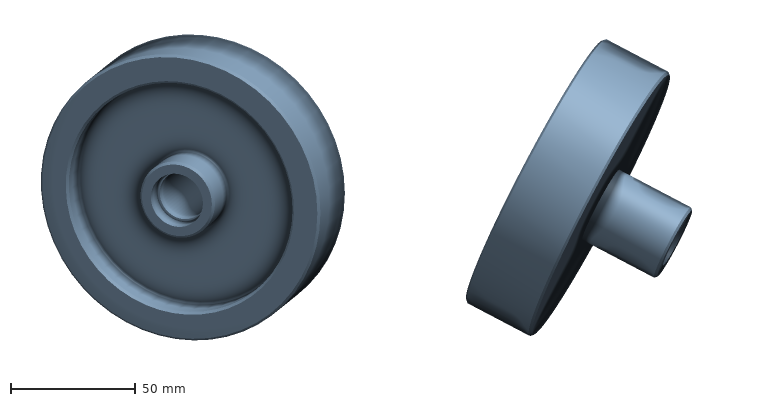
import cadquery as cq

rim_radius = 60.0
rim_width = 30.0
rim_chamfer = 1.0

recess_radius = 48.0
recess_depth = 12.0
recess_mouth_chamfer = 1.0
recess_floor_fillet = 1.0

hub_radius = 16.0
hub_length = 67.0
hub_front_overhang = 3.4
hub_end_chamfer = 1.0
hub_root_fillet = 1.0

bore_radius = 10.0
counterbore_radius = 11.2
counterbore_depth = 7.0

rim_front = -rim_width / 2
recess_floor = rim_front + recess_depth
hub_front = rim_front - hub_front_overhang


def cylinder(radius, start, length):
    """Solid cylinder on the Y axis, running toward +Y from start."""
    plane = cq.Plane(origin=(0, start, 0), xDir=(1, 0, 0), normal=(0, 1, 0))
    return cq.Workplane(plane).circle(radius).extrude(length)


def make_rim():
    rim = cylinder(rim_radius, rim_front, rim_width).edges().chamfer(rim_chamfer)
    recess = cylinder(recess_radius, rim_front, recess_depth)
    recess = recess.faces(">Y").edges().fillet(recess_floor_fillet)
    mouth = cq.Workplane(
        cq.Solid.makeCone(
            recess_radius + recess_mouth_chamfer,
            recess_radius,
            recess_mouth_chamfer,
            pnt=cq.Vector(0, rim_front, 0),
            dir=cq.Vector(0, 1, 0),
        )
    )
    return rim.cut(recess).cut(mouth)


def make_hub():
    return cylinder(hub_radius, hub_front, hub_length).edges().chamfer(hub_end_chamfer)


def round_hub_root(body):
    """Fillet the corner where the hub leaves the recess floor."""
    reach = hub_radius + hub_root_fillet
    corner = cq.selectors.BoxSelector(
        (-reach, recess_floor - hub_root_fillet, -reach),
        (reach, recess_floor + hub_root_fillet, reach),
        boundingbox=True,
    )
    return body.edges(corner).fillet(hub_root_fillet)


def cut_bore(body):
    body = body.cut(cylinder(bore_radius, hub_front, hub_length))
    return body.cut(cylinder(counterbore_radius, hub_front, counterbore_depth))


result = cut_bore(round_hub_root(make_rim().union(make_hub())))